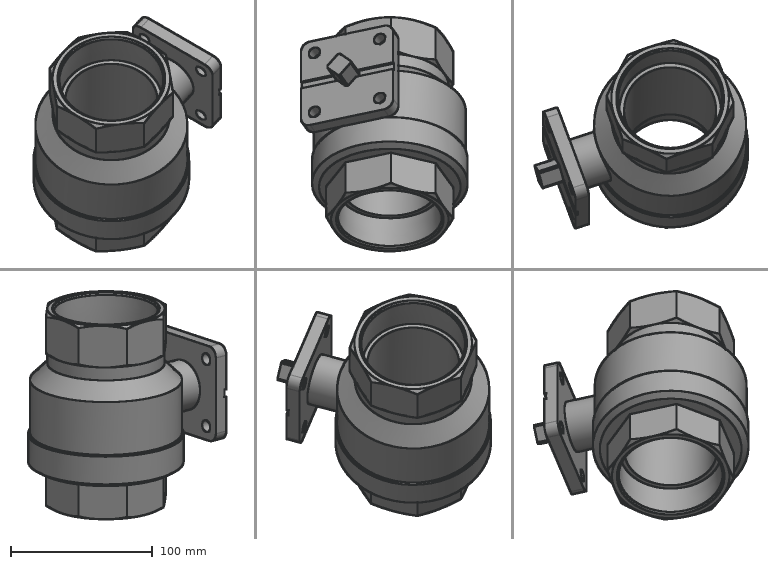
import cadquery as cq
import math

BODY_LENGTH = 143.0
HALF_LENGTH = BODY_LENGTH / 2

NECK_DIAMETER = 83.0
BODY_DIAMETER = 107.5
COLLAR_DIAMETER = 110.0
COLLAR_BOTTOM_Z = -44.25
COLLAR_TOP_Z = -20.0
COLLAR_TOP_CHAMFER = 1.0
COLLAR_BEVEL = 5.0
BODY_TOP_Z = 19.0
BODY_CONE_ANGLE = 45.0

WRENCH_WIDTH = 83.0
WRENCH_SIDES = 8
UPPER_WRENCH_BOTTOM_Z = 40.8
BEVEL_ANGLE = 30.0
ENVELOPE_MARGIN = 1.0

BORE_DIAMETER = 65.0
SOCKET_MOUTH_DIAMETER = 76.0
SOCKET_DIAMETER = 73.3
SOCKET_END_DIAMETER = 71.7
SOCKET_DEPTH = 24.0

PAD_SIZE = 70.0
PAD_THICKNESS = 10.0
PAD_CORNER_RADIUS = 7.0
PAD_OUTER_Y = 82.75
PAD_INNER_Y = PAD_OUTER_Y - PAD_THICKNESS
PAD_HOLE_DIAMETER = 8.5
PAD_HOLE_SPACING = 49.5
PAD_GROOVE_WIDTH = 5.5
PAD_GROOVE_DEPTH = 1.6
PAD_NECK_DIAMETER = 36.5

STEM_END_Y = 98.25
STEM_SQUARE = 13.6
STEM_CORNER_WIDTH = 17.6
STEM_TURN = 45.0


def slope_height(run, angle):
    return run * math.tan(math.radians(angle))


def revolve_about_z(points):
    return cq.Workplane("XZ").polyline(points).close().revolve(360, (0, 0), (0, 1))


def disc_along_y(diameter, start_y, end_y):
    """Cylinder on the stem axis between two Y positions."""
    return cq.Workplane("XZ", origin=(0, start_y, 0)).circle(diameter / 2).extrude(start_y - end_y)


def round_body():
    neck_radius = NECK_DIAMETER / 2
    body_radius = BODY_DIAMETER / 2
    collar_radius = COLLAR_DIAMETER / 2
    bevel_top_z = COLLAR_BOTTOM_Z + slope_height(COLLAR_BEVEL, BEVEL_ANGLE)
    cone_top_z = BODY_TOP_Z + slope_height(body_radius - neck_radius, BODY_CONE_ANGLE)
    return revolve_about_z([
        (0, COLLAR_BOTTOM_Z),
        (collar_radius - COLLAR_BEVEL, COLLAR_BOTTOM_Z),
        (collar_radius, bevel_top_z),
        (collar_radius, COLLAR_TOP_Z - COLLAR_TOP_CHAMFER),
        (body_radius, COLLAR_TOP_Z),
        (body_radius, BODY_TOP_Z),
        (neck_radius, cone_top_z),
        (neck_radius, UPPER_WRENCH_BOTTOM_Z),
        (0, UPPER_WRENCH_BOTTOM_Z),
    ])


def wrench_end(bottom_z, top_z, bevel_bottom, bevel_top):
    """Octagonal prism whose corners are bevelled at the chosen ends."""
    flat_radius = WRENCH_WIDTH / 2
    half_corner_angle = math.pi / WRENCH_SIDES
    corner_radius = flat_radius / math.cos(half_corner_angle)
    octagon = (
        cq.Workplane("XY", origin=(0, 0, bottom_z))
        .polygon(WRENCH_SIDES, 2 * corner_radius)
        .extrude(top_z - bottom_z)
        .rotate((0, 0, 0), (0, 0, 1), math.degrees(half_corner_angle))
    )
    envelope_radius = corner_radius + ENVELOPE_MARGIN
    bevel_height = slope_height(envelope_radius - flat_radius, BEVEL_ANGLE)
    outline = [(0, bottom_z)]
    if bevel_bottom:
        outline += [(flat_radius, bottom_z), (envelope_radius, bottom_z + bevel_height)]
    else:
        outline += [(envelope_radius, bottom_z)]
    if bevel_top:
        outline += [(envelope_radius, top_z - bevel_height), (flat_radius, top_z)]
    else:
        outline += [(envelope_radius, top_z)]
    outline += [(0, top_z)]
    return octagon.intersect(revolve_about_z(outline))


def flow_passage():
    """Through bore with a chamfered, tapered socket at each end."""
    mouth_radius = SOCKET_MOUTH_DIAMETER / 2
    socket_radius = SOCKET_DIAMETER / 2
    socket_start_z = HALF_LENGTH - (mouth_radius - socket_radius)
    socket_end_z = HALF_LENGTH - SOCKET_DEPTH
    socket = revolve_about_z([
        (0, HALF_LENGTH),
        (mouth_radius, HALF_LENGTH),
        (socket_radius, socket_start_z),
        (SOCKET_END_DIAMETER / 2, socket_end_z),
        (0, socket_end_z),
    ])
    bore = cq.Workplane("XY").circle(BORE_DIAMETER / 2).extrude(HALF_LENGTH, both=True)
    return bore.union(socket).union(socket.mirror("XY"))


def mounting_pad():
    pad = (
        cq.Workplane("XZ", origin=(0, PAD_OUTER_Y, 0))
        .rect(PAD_SIZE, PAD_SIZE)
        .extrude(PAD_THICKNESS)
        .edges("|Y")
        .fillet(PAD_CORNER_RADIUS)
    )
    holes = (
        cq.Workplane("XZ", origin=(0, PAD_OUTER_Y, 0))
        .rect(PAD_HOLE_SPACING, PAD_HOLE_SPACING, forConstruction=True)
        .vertices()
        .circle(PAD_HOLE_DIAMETER / 2)
        .extrude(PAD_THICKNESS)
    )
    groove = (
        cq.Workplane("XZ", origin=(0, PAD_OUTER_Y, 0))
        .rect(PAD_SIZE, PAD_GROOVE_WIDTH)
        .extrude(PAD_GROOVE_DEPTH)
    )
    return pad.cut(holes).cut(groove)


def stem():
    start_y = PAD_INNER_Y
    length = STEM_END_Y - start_y
    square = (
        cq.Workplane("XZ", origin=(0, start_y, 0))
        .rect(STEM_SQUARE, STEM_SQUARE)
        .extrude(-length)
        .rotate((0, 0, 0), (0, 1, 0), STEM_TURN)
    )
    corner_trim = (
        cq.Workplane("XZ", origin=(0, start_y, 0))
        .rect(STEM_CORNER_WIDTH, STEM_CORNER_WIDTH)
        .extrude(-length)
    )
    return square.intersect(corner_trim)


result = (
    round_body()
    .union(wrench_end(UPPER_WRENCH_BOTTOM_Z, HALF_LENGTH, True, True))
    .union(wrench_end(-HALF_LENGTH, COLLAR_BOTTOM_Z, True, False))
    .union(disc_along_y(PAD_NECK_DIAMETER, 0, PAD_INNER_Y))
    .union(mounting_pad())
    .union(stem())
    .cut(flow_passage())
)